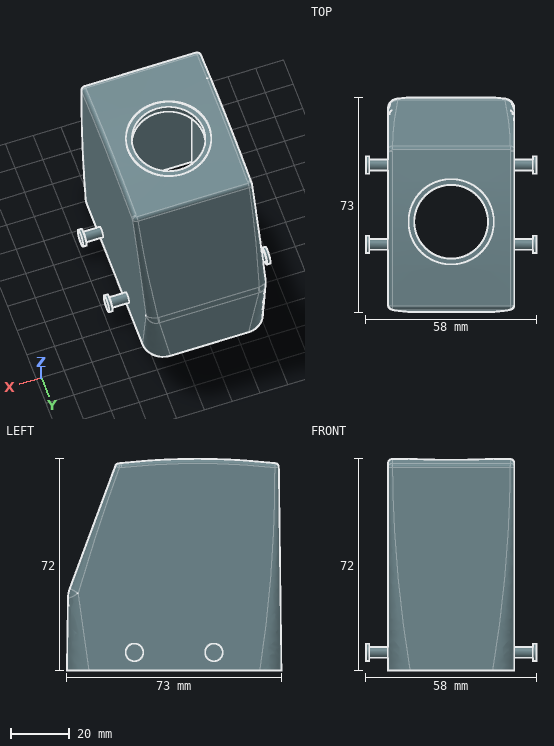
import cadquery as cq
import math

body_width = 43.0
base_depth = 73.0
height = 72.0
half_width = body_width / 2
half_depth = base_depth / 2

front_lean = 0.9
back_lean = 0.4
front_top_y = -half_depth + front_lean
shoulder_z = 26.3
shoulder_y = half_depth - back_lean
back_top_y = 19.7
roof_edge_z = 70.4
shoulder_radius = 8.5

base_corner_radius = 7.5
shoulder_corner_radius = 3.4
roof_corner_radius = 1.5
roof_edge_radius = 1.5

wall = 4.0
cavity_back_y = 25.5

entry_y = -5.8
entry_diameter = 25.0
seat_diameter = 29.0
seat_z = 71.3

pin_span = 58.0
pin_pitch = 27.0
pin_z = 6.2
pin_diameter = 3.8
pin_head_diameter = 6.0
pin_head_thickness = 1.2
pin_embed = 1.0

clearance = 2.0


def line_y(z, z0, y0, z1, y1):
    """Y of a straight wall line through (y0, z0) and (y1, z1) at height z."""
    return y0 + (y1 - y0) * (z - z0) / (z1 - z0)


def front_y(z):
    return line_y(z, 0, -half_depth, roof_edge_z, front_top_y)


def lower_back_y(z):
    return line_y(z, 0, half_depth, shoulder_z, shoulder_y)


def slope_y(z):
    return line_y(z, shoulder_z, shoulder_y, roof_edge_z, back_top_y)


def make_block():
    roof_middle_y = (front_top_y + back_top_y) / 2
    return (
        cq.Workplane("YZ")
        .moveTo(-half_depth, 0)
        .lineTo(half_depth, 0)
        .lineTo(shoulder_y, shoulder_z)
        .lineTo(back_top_y, roof_edge_z)
        .threePointArc((roof_middle_y, height), (front_top_y, roof_edge_z))
        .close()
        .extrude(half_width, both=True)
    )


def corner_section(z, wall_y, outward, radius):
    """Horizontal outline of the material outside a rounded corner on the +X side."""
    center_x = half_width - radius
    center_y = wall_y - outward * radius
    reach = radius * math.sqrt(0.5)
    outer_x = half_width + clearance
    outer_y = wall_y + outward * clearance
    return (
        cq.Workplane("XY", origin=(0, 0, z))
        .moveTo(center_x, wall_y)
        .lineTo(center_x, outer_y)
        .lineTo(outer_x, outer_y)
        .lineTo(outer_x, center_y)
        .lineTo(half_width, center_y)
        .threePointArc((center_x + reach, center_y + outward * reach), (center_x, wall_y))
        .close()
        .val()
    )


def corner_cutter(z_low, z_high, wall_line, outward, radius_low, radius_high):
    """Corner tool whose radius falls off quadratically from z_low to z_high."""
    sections = []
    for share in (0, 0.5, 1):
        z = z_low + (z_high - z_low) * share
        radius = radius_high + (radius_low - radius_high) * (1 - share) ** 2
        sections.append(corner_section(z, wall_line(z), outward, radius))
    return cq.Workplane(cq.Solid.makeLoft(sections))


def straight_corner_cutter(z_low, z_high, wall_line, outward, radius_low, radius_high):
    """Corner tool whose radius changes linearly from z_low to z_high."""
    sections = [
        corner_section(z_low, wall_line(z_low), outward, radius_low),
        corner_section(z_high, wall_line(z_high), outward, radius_high),
    ]
    return cq.Workplane(cq.Solid.makeLoft(sections, True))


def round_corners(block):
    cutters = [
        corner_cutter(0, height, front_y, -1, base_corner_radius, roof_corner_radius),
        straight_corner_cutter(0, shoulder_z, lower_back_y, 1, base_corner_radius, shoulder_corner_radius),
        corner_cutter(shoulder_z, height, slope_y, 1, shoulder_corner_radius, roof_corner_radius),
    ]
    for cutter in cutters:
        block = block.cut(cutter).cut(cutter.mirror("YZ"))
    return block


def soften_edges(body):
    """Blend the shoulder across the back, then round the rim of the domed roof."""
    shoulder_box = cq.selectors.BoxSelector(
        (-body_width, shoulder_y - base_corner_radius, shoulder_z - clearance),
        (body_width, half_depth, shoulder_z + clearance),
    )
    body = body.edges(shoulder_box).fillet(shoulder_radius)
    roof_box = cq.selectors.BoxSelector(
        (-half_width, front_top_y, (roof_edge_z + height) / 2),
        (half_width, back_top_y, height),
    )
    return body.faces(roof_box).edges().fillet(roof_edge_radius)


def make_cavity():
    slope_run = (shoulder_y - back_top_y) / (roof_edge_z - shoulder_z)
    slope_wall = wall * math.hypot(1, slope_run)
    slope_start_z = shoulder_z + (shoulder_y - slope_wall - cavity_back_y) / slope_run
    ceiling_z = height - wall
    cavity_front_y = -half_depth + wall
    return (
        cq.Workplane("YZ")
        .moveTo(cavity_front_y, 0)
        .lineTo(cavity_back_y, 0)
        .lineTo(cavity_back_y, slope_start_z)
        .lineTo(slope_y(ceiling_z) - slope_wall, ceiling_z)
        .lineTo(cavity_front_y, ceiling_z)
        .close()
        .extrude(half_width - wall, both=True)
    )


def make_cable_entry():
    """Round opening through the roof with a shallow flat seat around it."""
    opening_bottom_z = height / 2
    opening = (
        cq.Workplane("XY", origin=(0, entry_y, opening_bottom_z))
        .circle(entry_diameter / 2)
        .extrude(height + clearance - opening_bottom_z)
    )
    seat = (
        cq.Workplane("XY", origin=(0, entry_y, seat_z))
        .circle(seat_diameter / 2)
        .extrude(height + clearance - seat_z)
    )
    return opening.union(seat)


def make_pin(y):
    """Headed pin on the +X side."""
    start_x = half_width - pin_embed
    shank_length = pin_span / 2 - pin_head_thickness - start_x
    return (
        cq.Workplane("YZ", origin=(start_x, y, pin_z))
        .circle(pin_diameter / 2)
        .extrude(shank_length)
        .faces(">X")
        .workplane()
        .circle(pin_head_diameter / 2)
        .extrude(pin_head_thickness)
    )


hood = soften_edges(round_corners(make_block()))
hood = hood.cut(make_cavity()).cut(make_cable_entry())
for pin_y in (-pin_pitch / 2, pin_pitch / 2):
    pin = make_pin(pin_y)
    hood = hood.union(pin).union(pin.mirror("YZ"))

result = cq.Workplane(hood.solids().val())